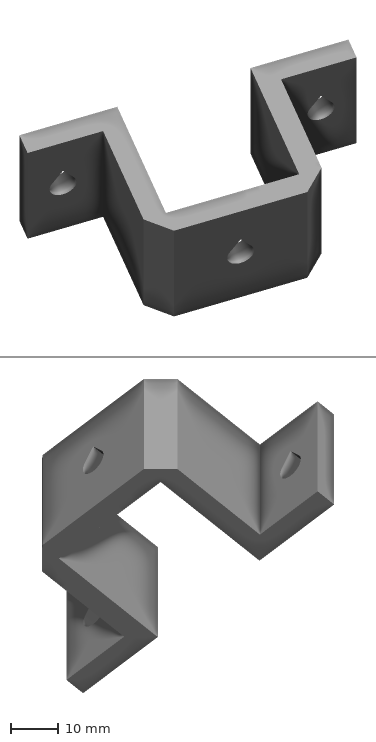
import cadquery as cq
import math

total_width = 74.0
depth = 35.0
height = 30.0
thickness = 5.0

channel_width = 30.0
corner_chamfer = thickness

hole_radius = 3.0
tip_rise = 5.2
flange_hole_offset = 29.0

half_total = total_width / 2
half_channel = channel_width / 2
half_outer = half_channel + thickness


def bracket_body():
    """Hat-shaped strip: flanges at X = 0, channel floor at X = depth."""
    upper_half = [
        (depth, half_outer - corner_chamfer),
        (depth - corner_chamfer, half_outer),
        (thickness, half_outer),
        (thickness, half_total),
        (0, half_total),
        (0, half_channel),
        (depth - thickness, half_channel),
    ]
    lower_half = [(x, -y) for x, y in reversed(upper_half)]
    return cq.Workplane("XY").polyline(upper_half + lower_half).close().extrude(height)


def teardrop_cutter(y):
    """Teardrop prism along X whose straight sides are tangent to its round part."""
    tangent_angle = math.asin(hole_radius / tip_rise)
    tangent_y = hole_radius * math.cos(tangent_angle)
    tangent_z = hole_radius * math.sin(tangent_angle)
    return (
        cq.Workplane("YZ")
        .center(y, height / 2)
        .moveTo(0, tip_rise)
        .lineTo(tangent_y, tangent_z)
        .threePointArc((0, -hole_radius), (-tangent_y, tangent_z))
        .close()
        .extrude(depth)
    )


result = bracket_body()
for hole_y in (-flange_hole_offset, 0, flange_hole_offset):
    result = result.cut(teardrop_cutter(hole_y))